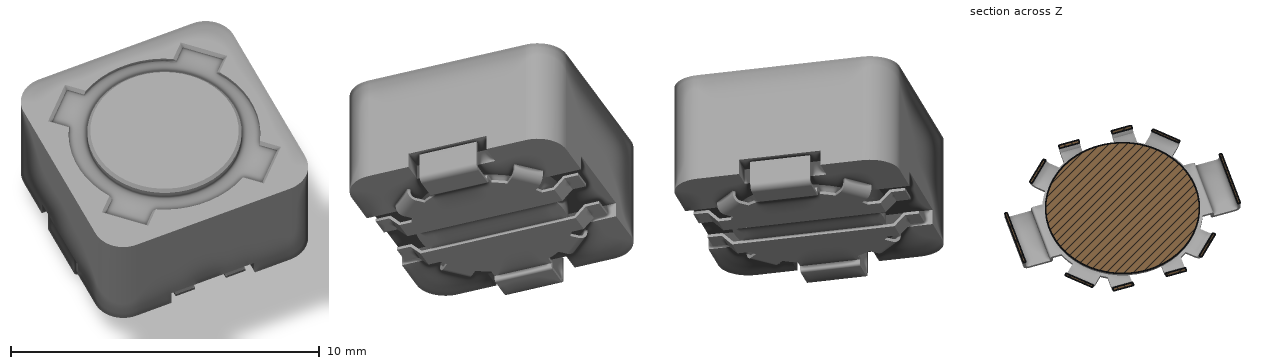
import cadquery as cq
import math

length_x = 7.51
width_y = 7.5
corner_radius = 1.0
block_bottom = 0.585
block_top = 4.3

post_radius = 2.5
post_bottom = 0.3
post_top = 4.5
post_chamfer = 0.1

recess_radius = 3.11
recess_depth = 0.15
recess_fillet = 0.045
arm_reach = 3.725
arm_width = 1.6
arm_chamfer = 0.1

notch_top = 1.1
end_notch_width = 2.975
side_notch_width = 2.73
side_notch_depth = 0.75

sheet = 0.1
plate_bottom = post_bottom - sheet
plate_radius = 2.605
plate_inner_edge = 0.55
strip_start = 1.95

tab_width = 2.0
tab_face = 3.7
tab_top = 1.0
tab_bend_radius = 2 * sheet
step_face = 2.785
step_radius = 0.075

leg_reach = 3.155
leg_width = 1.0
leg_bend_radius = 3 * sheet

prong_width = 0.7
prong_bend = 2.72
prong_tip = 3.545
prong_lift = 0.35

DIAGONAL_ANGLES = (45, 135)


def post(bottom, top):
    """Cylinder of the post radius between two heights."""
    return cq.Workplane("XY").workplane(offset=bottom).circle(post_radius).extrude(top - bottom)


def make_block():
    height = block_top - block_bottom
    return (
        cq.Workplane("XY")
        .workplane(offset=block_bottom)
        .rect(length_x, width_y)
        .extrude(height)
        .edges("|Z")
        .fillet(corner_radius)
    )


def make_recess():
    """Ring with four diagonal arms, rounded where its walls meet its floor."""
    floor = cq.Workplane("XY").workplane(offset=block_top - recess_depth)
    recess = floor.circle(recess_radius).extrude(recess_depth)
    for angle in DIAGONAL_ANGLES:
        bar = floor.rect(2 * (arm_reach - arm_chamfer), arm_width - 2 * arm_chamfer).extrude(recess_depth)
        recess = recess.union(bar.rotate((0, 0, 0), (0, 0, 1), angle))
    recess = recess.cut(post(block_bottom, post_top))
    return recess.faces("<Z").edges().fillet(recess_fillet)


def make_arm_chamfers():
    """Two crossing bars with 45 degree walls that bevel the rims of the recess arms."""
    rim = cq.Workplane("XY").workplane(offset=block_top)
    bevels = cq.Workplane("XY")
    for angle in DIAGONAL_ANGLES:
        bar = rim.rect(2 * arm_reach, arm_width).extrude(-arm_chamfer, taper=45)
        bevels = bevels.union(bar.rotate((0, 0, 0), (0, 0, 1), angle))
    return bevels.cut(post(block_bottom, post_top))


def make_notches():
    """Openings that reach the post through the two ends, and shallow ones with flat backs on the two sides."""
    height = notch_top - block_bottom
    base = cq.Workplane("XY").workplane(offset=block_bottom)
    notches = base.rect(length_x, end_notch_width).extrude(height).cut(post(block_bottom, notch_top))
    middle_y = (width_y - side_notch_depth) / 2
    side_notches = base.pushPoints([(0, -middle_y), (0, middle_y)]).rect(side_notch_width, side_notch_depth)
    return notches.union(side_notches.extrude(height))


def make_core():
    core = make_block().cut(make_recess()).cut(make_arm_chamfers()).cut(make_notches())
    post_body = post(post_bottom, post_top).faces(">Z").chamfer(post_chamfer)
    return core.union(post_body)


def make_plate():
    """Flat disc segment under one half of the post, on the -Y side."""
    base = cq.Workplane("XY").workplane(offset=plate_bottom)
    depth = plate_radius - plate_inner_edge
    half = base.center(0, -plate_inner_edge - depth / 2).rect(2 * plate_radius, depth).extrude(sheet)
    return base.circle(plate_radius).extrude(sheet).intersect(half)


def make_tab():
    """Strip that steps down from the plate, runs outward and turns up into the side notch."""
    bend_inner = tab_bend_radius - sheet
    step_inner = step_face - sheet
    tab_inner = tab_face - sheet
    profile = (
        cq.Workplane("XZ")
        .moveTo(strip_start, post_bottom)
        .lineTo(step_face - step_radius, post_bottom)
        .radiusArc((step_face, post_bottom - step_radius), step_radius)
        .lineTo(step_face, sheet)
        .lineTo(tab_inner - bend_inner, sheet)
        .radiusArc((tab_inner, sheet + bend_inner), -bend_inner)
        .lineTo(tab_inner, tab_top)
        .lineTo(tab_face, tab_top)
        .lineTo(tab_face, tab_bend_radius)
        .radiusArc((tab_face - tab_bend_radius, 0), tab_bend_radius)
        .lineTo(step_inner + step_radius, 0)
        .radiusArc((step_inner, step_radius), step_radius)
        .lineTo(step_inner, plate_bottom)
        .lineTo(strip_start, plate_bottom)
        .close()
    )
    tab = profile.extrude(tab_width / 2, both=True)
    return tab.rotate((0, 0, 0), (0, 0, 1), -90)


def make_leg(angle):
    """Diagonal strip leaving the plate and bending up to the underside of the block."""
    bend_inner = leg_bend_radius - sheet
    leg_inner = leg_reach - sheet
    bend_start = leg_reach - leg_bend_radius
    profile = (
        cq.Workplane("XZ")
        .moveTo(strip_start, plate_bottom)
        .lineTo(bend_start, plate_bottom)
        .radiusArc((leg_reach, plate_bottom + leg_bend_radius), -leg_bend_radius)
        .lineTo(leg_reach, block_bottom)
        .lineTo(leg_inner, block_bottom)
        .lineTo(leg_inner, post_bottom + bend_inner)
        .radiusArc((bend_start, post_bottom), bend_inner)
        .lineTo(strip_start, post_bottom)
        .close()
    )
    leg = profile.extrude(leg_width / 2, both=True)
    return leg.rotate((0, 0, 0), (0, 0, 1), angle)


def make_prong(side):
    """Strip towards one end (side = -1 or 1), rising at 45 degrees and levelling off in the end notch."""
    bend_shift = sheet * math.tan(math.radians(22.5))
    rise_end = prong_bend + prong_lift
    outline = [
        (strip_start, plate_bottom),
        (prong_bend, plate_bottom),
        (rise_end, plate_bottom + prong_lift),
        (prong_tip, plate_bottom + prong_lift),
        (prong_tip, post_bottom + prong_lift),
        (rise_end - bend_shift, post_bottom + prong_lift),
        (prong_bend - bend_shift, post_bottom),
        (strip_start, post_bottom),
    ]
    points = [(side * distance, height) for distance, height in outline]
    prong = cq.Workplane("XZ").polyline(points).close().extrude(prong_width)
    return prong.translate((0, -plate_inner_edge, 0))


def make_terminal():
    """One complete terminal, on the -Y side of the core."""
    terminal = make_plate().union(make_tab())
    for angle in (-45, -135):
        terminal = terminal.union(make_leg(angle))
    for side in (-1, 1):
        terminal = terminal.union(make_prong(side))
    return terminal


core = make_core()
terminals = [make_terminal().rotate((0, 0, 0), (0, 0, 1), angle) for angle in (0, 180)]

result = cq.Compound.makeCompound([core.val(), *[terminal.val() for terminal in terminals]])